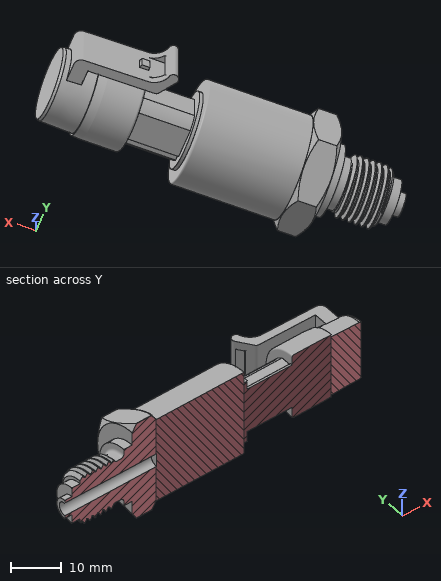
import cadquery as cq
import math

NOZZLE_END = 1.8
THREAD_START = 3.8
THREAD_END = 12.8
COLLAR_START = 14.8
HEX_START = 16.9
HEX_END = 23.0
SLEEVE_END = 45.1
FLANGE_END = 45.8
SHROUD_START = 57.0
SHROUD_TAPER_START = 64.9
SHROUD_END = 66.9
PLUG_END = 74.4

BORE_DIAMETER = 3.3
NOZZLE_DIAMETER = 5.0
PILOT_DIAMETER = 9.5
UNDERCUT_DIAMETER = 11.0
UNDERCUT_FILLET = 0.8
COLLAR_DIAMETER = 15.2
HEX_ACROSS_CORNERS = 25.4
HEX_FACE_DIAMETER = 21.7
HEX_CHAMFER_LENGTH = 1.1

THREAD_MAJOR_DIAMETER = 13.2
THREAD_MINOR_DIAMETER = 11.45
THREAD_PITCH = 1.35
THREAD_FIRST_CREST = 5.05
THREAD_RUN_IN = 0.9
CREST_WIDTH = 0.2
ROOT_WIDTH = 1.3
RIDGE_EMBED = 0.15
CREST_CLEARANCE = 0.4

SLEEVE_DIAMETER = 21.9
SLEEVE_EDGE_FILLET = 0.4

FLANGE_DIAMETER = 16.2
STEM_DIAMETER = 12.65
STEM_FLAT_Z = 5.5
STEM_FLAT_HALF_WIDTH = math.sqrt((STEM_DIAMETER / 2) ** 2 - STEM_FLAT_Z**2)
STEM_LEDGE_Z = 4.2
STEM_BACK_Y = 5.4
KEY_WIDTH = 0.9
KEY_TOP_Z = 5.95
SHROUD_DIAMETER = 16.9
SHROUD_END_DIAMETER = 16.6
SHROUD_EDGE_FILLET = 0.45

PLUG_START_DIAMETER = 15.8
PLUG_END_DIAMETER = 15.3
PLUG_EDGE_CHAMFER_LENGTH = 0.6
PLUG_EDGE_CHAMFER_DEPTH = 0.2
LATCH_WIDTH = 11.9
LATCH_TIP_CENTER = (53.3, 12.9)
LATCH_TIP_RADIUS = 1.05
LATCH_TIP_START_ANGLE = 30
LATCH_TIP_ARC_ANGLE = 180
LATCH_FRONT_X = 55.05
LATCH_FRONT_Y = 8.55
LATCH_BEND_RADIUS = 0.9
LATCH_FOOT_START = 69.6
LATCH_FOOT_END = 72.7
LATCH_FOOT_Y = 4.75
LATCH_FOOT_TOP_Y = 8.4
LATCH_SHOULDER_RADIUS = 1.55
LATCH_SHOULDER_Y = 10.35
LATCH_SADDLE = (57.4, 10.6)
LATCH_SADDLE_MID = (55.8, 11.15)
WINDOW_WIDTH = 7.75
WINDOW_TOP_Y = 12.1
CATCH_START = 57.6
CATCH_TOP_LENGTH = 1.6
CATCH_SLOPE_LENGTH = 0.3
CATCH_TOP_Y = 11.2
CATCH_WIDTH = 2.7
CATCH_BASE_Y = 9.7


def cylinder(start, end, diameter):
    """Cylinder on the X axis between two stations."""
    return cq.Workplane("YZ", origin=(start, 0, 0)).circle(diameter / 2).extrude(end - start)


def turned(points):
    """Solid of revolution about X; points are (x, radius), closed along the axis."""
    outline = [(points[0][0], 0), *points, (points[-1][0], 0)]
    return cq.Workplane("XY").polyline(outline).close().revolve(360, (0, 0, 0), (1, 0, 0))


def make_thread():
    """Threaded length: a helical ridge on a core, chamfered at both ends."""
    core_radius = THREAD_MINOR_DIAMETER / 2
    end_radius = UNDERCUT_DIAMETER / 2
    crest_radius = THREAD_MAJOR_DIAMETER / 2
    start = THREAD_FIRST_CREST - THREAD_PITCH
    helix = cq.Wire.makeHelix(THREAD_PITCH, THREAD_END - start, core_radius)
    ridge = (
        cq.Workplane("XZ")
        .polyline([
            (core_radius - RIDGE_EMBED, -ROOT_WIDTH / 2),
            (crest_radius, -CREST_WIDTH / 2),
            (crest_radius, CREST_WIDTH / 2),
            (core_radius - RIDGE_EMBED, ROOT_WIDTH / 2),
        ])
        .close()
        .sweep(cq.Workplane(obj=helix), isFrenet=True)
        .rotate((0, 0, 0), (0, 1, 0), 90)
        .translate((start, 0, 0))
    )
    outer_radius = crest_radius + CREST_CLEARANCE
    cone_length = THREAD_RUN_IN * (outer_radius - end_radius) / (crest_radius - end_radius)
    envelope = turned([
        (THREAD_START, end_radius),
        (THREAD_START + cone_length, outer_radius),
        (THREAD_END - cone_length, outer_radius),
        (THREAD_END, end_radius),
    ])
    core = cylinder(THREAD_START, THREAD_END, THREAD_MINOR_DIAMETER).intersect(envelope)
    return core.union(ridge.intersect(envelope))


def make_hex():
    """Wrench hexagon with corners up and down, chamfered at both ends."""
    length = HEX_END - HEX_START
    prism = (
        cq.Workplane("YZ", origin=(HEX_START, 0, 0))
        .polygon(6, HEX_ACROSS_CORNERS)
        .extrude(length)
        .rotate((0, 0, 0), (1, 0, 0), 90)
    )
    chamfers = turned([
        (HEX_START, HEX_FACE_DIAMETER / 2),
        (HEX_START + HEX_CHAMFER_LENGTH, HEX_ACROSS_CORNERS / 2),
        (HEX_END - HEX_CHAMFER_LENGTH, HEX_ACROSS_CORNERS / 2),
        (HEX_END, HEX_FACE_DIAMETER / 2),
    ])
    return prism.intersect(chamfers)


def make_undercut():
    """Plain neck behind the thread, flaring into the collar through a fillet."""
    neck_radius = UNDERCUT_DIAMETER / 2
    flare_start = COLLAR_START - UNDERCUT_FILLET
    flare_mid = (
        flare_start + UNDERCUT_FILLET * math.sin(math.pi / 4),
        neck_radius + UNDERCUT_FILLET * (1 - math.cos(math.pi / 4)),
    )
    return (
        cq.Workplane("XY")
        .moveTo(THREAD_END, 0)
        .lineTo(THREAD_END, neck_radius)
        .lineTo(flare_start, neck_radius)
        .threePointArc(flare_mid, (COLLAR_START, neck_radius + UNDERCUT_FILLET))
        .lineTo(COLLAR_START, 0)
        .close()
        .revolve(360, (0, 0, 0), (1, 0, 0))
    )


def make_fitting():
    """Pressure port: nozzle, pilot, thread, undercut, collar and hexagon, bored through."""
    return (
        cylinder(0, NOZZLE_END, NOZZLE_DIAMETER)
        .union(cylinder(NOZZLE_END, THREAD_START, PILOT_DIAMETER))
        .union(make_thread())
        .union(make_undercut())
        .union(cylinder(COLLAR_START, HEX_START, COLLAR_DIAMETER))
        .union(make_hex())
        .cut(cylinder(0, HEX_END, BORE_DIAMETER))
    )


def make_sleeve():
    """Cylindrical housing behind the hexagon."""
    return cylinder(HEX_END, SLEEVE_END, SLEEVE_DIAMETER).faces(">X").edges().fillet(SLEEVE_EDGE_FILLET)


def make_stem():
    """Round stem with top and bottom flats, stepped front corners, a flat back and a key."""
    radius = STEM_DIAMETER / 2
    length = SHROUD_START - FLANGE_END
    start_plane = cq.Workplane("YZ", origin=(FLANGE_END, 0, 0))
    stem = start_plane.circle(radius).extrude(length)
    outline = start_plane.polyline([
        (STEM_BACK_Y, -STEM_FLAT_Z),
        (STEM_BACK_Y, STEM_FLAT_Z),
        (-STEM_FLAT_HALF_WIDTH, STEM_FLAT_Z),
        (-STEM_FLAT_HALF_WIDTH, STEM_LEDGE_Z),
        (-radius, STEM_LEDGE_Z),
        (-radius, -STEM_LEDGE_Z),
        (-STEM_FLAT_HALF_WIDTH, -STEM_LEDGE_Z),
        (-STEM_FLAT_HALF_WIDTH, -STEM_FLAT_Z),
    ]).close().extrude(length)
    key = start_plane.center(0, KEY_TOP_Z / 2).rect(KEY_WIDTH, KEY_TOP_Z).extrude(length)
    return stem.intersect(outline).union(key)


def make_shroud():
    """Round connector shroud: rounded front edge, straight length and slightly tapered rear."""
    straight = cylinder(SHROUD_START, SHROUD_TAPER_START, SHROUD_DIAMETER)
    straight = straight.faces("<X").edges().fillet(SHROUD_EDGE_FILLET)
    taper = turned([
        (SHROUD_TAPER_START, SHROUD_DIAMETER / 2),
        (SHROUD_END, SHROUD_END_DIAMETER / 2),
    ])
    return straight.union(taper)


def make_connector():
    """Sensor connector: flange on the sleeve, keyed stem and shroud."""
    return cylinder(SLEEVE_END, FLANGE_END, FLANGE_DIAMETER).union(make_stem()).union(make_shroud())


def latch_point(angle):
    """Point of the rounded latch tip at an angle in degrees from +X."""
    turn = math.radians(angle)
    return (
        LATCH_TIP_CENTER[0] + LATCH_TIP_RADIUS * math.cos(turn),
        LATCH_TIP_CENTER[1] + LATCH_TIP_RADIUS * math.sin(turn),
    )


def make_latch():
    """Latch arm: foot on the plug, strap over the shroud, windowed finger lever and catch."""
    tip_start = latch_point(LATCH_TIP_START_ANGLE)
    tip_mid = latch_point(LATCH_TIP_START_ANGLE + LATCH_TIP_ARC_ANGLE / 2)
    tip_end = latch_point(LATCH_TIP_START_ANGLE + LATCH_TIP_ARC_ANGLE)
    arm = (
        cq.Workplane("XY", origin=(0, 0, -LATCH_WIDTH / 2))
        .moveTo(LATCH_FOOT_END, LATCH_FOOT_Y)
        .lineTo(LATCH_FOOT_END, LATCH_SHOULDER_Y - LATCH_SHOULDER_RADIUS)
        .radiusArc((LATCH_FOOT_END - LATCH_SHOULDER_RADIUS, LATCH_SHOULDER_Y), -LATCH_SHOULDER_RADIUS)
        .lineTo(*LATCH_SADDLE)
        .threePointArc(LATCH_SADDLE_MID, tip_start)
        .threePointArc(tip_mid, tip_end)
        .lineTo(LATCH_FRONT_X, LATCH_FRONT_Y)
        .lineTo(LATCH_FOOT_START, LATCH_FOOT_TOP_Y)
        .lineTo(LATCH_FOOT_START, LATCH_FOOT_Y)
        .close()
        .extrude(LATCH_WIDTH)
    )
    front_corner = cq.selectors.NearestToPointSelector((LATCH_FRONT_X, LATCH_FRONT_Y, 0))
    arm = arm.edges("|Z").edges(front_corner).fillet(LATCH_BEND_RADIUS)

    lever_start = LATCH_TIP_CENTER[0] - LATCH_TIP_RADIUS
    window_length = LATCH_SADDLE[0] - lever_start
    window_height = WINDOW_TOP_Y - LATCH_SADDLE[1]
    window = (
        cq.Workplane("XY", origin=(lever_start, LATCH_SADDLE[1], 0))
        .box(window_length, window_height, WINDOW_WIDTH, centered=(False, False, True))
    )

    catch_end = CATCH_START + CATCH_TOP_LENGTH
    catch = (
        cq.Workplane("XY", origin=(0, 0, -CATCH_WIDTH / 2))
        .moveTo(CATCH_START, CATCH_BASE_Y)
        .lineTo(CATCH_START, CATCH_TOP_Y)
        .lineTo(catch_end, CATCH_TOP_Y)
        .lineTo(catch_end + CATCH_SLOPE_LENGTH, LATCH_SADDLE[1])
        .lineTo(catch_end + CATCH_SLOPE_LENGTH, CATCH_BASE_Y)
        .close()
        .extrude(CATCH_WIDTH)
    )
    return arm.cut(window).union(catch)


def make_plug():
    """Tapered plug behind the shroud, with its chamfered end and latch arm."""
    body = turned([
        (SHROUD_END, PLUG_START_DIAMETER / 2),
        (PLUG_END - PLUG_EDGE_CHAMFER_LENGTH, PLUG_END_DIAMETER / 2),
        (PLUG_END, PLUG_END_DIAMETER / 2 - PLUG_EDGE_CHAMFER_DEPTH),
    ])
    return body.union(make_latch())


fitting = make_fitting()
sleeve = make_sleeve()
connector = make_connector()
plug = make_plug()

result = cq.Compound.makeCompound([fitting.val(), sleeve.val(), connector.val(), plug.val()])